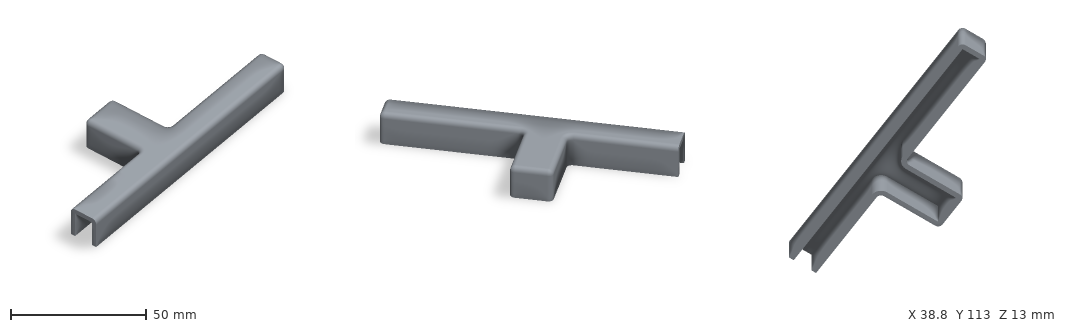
import cadquery as cq

total_length = 113.0
total_depth = 38.8
height = 13.0
channel_width = 12.0
branch_width = 16.4
branch_center = 50.0
wall = 2.0
edge_radius = wall

branch_reach = total_depth - channel_width
junction_radius = edge_radius


def tee(inset, solid_height, corner_radius):
    """T-shaped prism, inset from the outer walls but running out to the open end at Y = 0."""
    channel = cq.Workplane("XY").box(
        channel_width - 2 * inset, total_length - inset, solid_height, centered=(True, False, False)
    )
    branch = (
        cq.Workplane("XY")
        .center(-channel_width / 2 - branch_reach + inset, branch_center)
        .box(branch_reach + channel_width / 2 - inset, branch_width - 2 * inset, solid_height,
             centered=(False, True, False))
    )
    junction_edges = cq.selectors.BoxSelector(
        (-channel_width / 2 + inset - wall / 2, branch_center - branch_width, 0),
        (-channel_width / 2 + inset + wall / 2, branch_center + branch_width, solid_height),
    )
    return channel.union(branch).edges("|Z").edges(junction_edges).fillet(corner_radius)


body = tee(0, height, junction_radius)
body = body.faces(">Y or <X").edges("|Z").fillet(edge_radius)
open_end_edge = cq.selectors.BoxSelector(
    (-channel_width, -wall / 2, height - wall / 2),
    (channel_width, wall / 2, height + wall / 2),
)
body = body.faces(">Z").edges(cq.selectors.InverseSelector(open_end_edge)).fillet(edge_radius)

cavity = tee(wall, height - wall, junction_radius + wall)
result = body.cut(cavity)